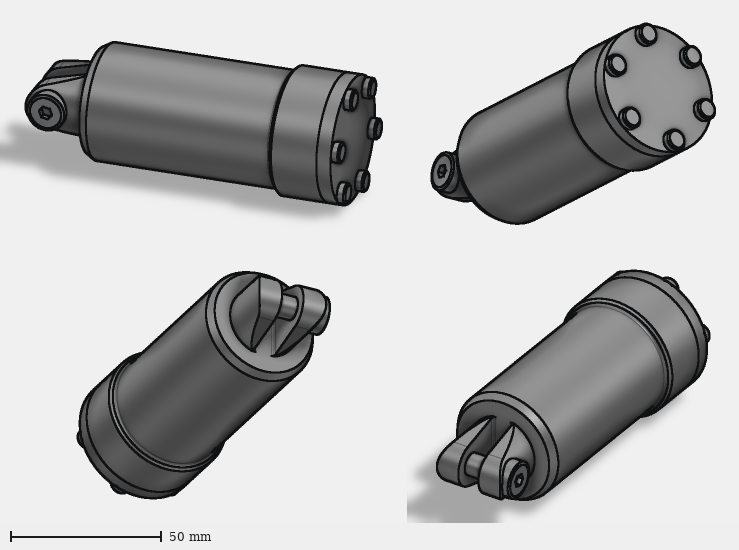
import cadquery as cq
import math

total_length = 113.8

barrel_radius = 40.1 / 2
flange_radius = 44.0 / 2
nose_face_x = 21.0
nose_bevel_length = 3.0
nose_bevel_angle = 30.0
neck_fillet = 1.0
flange_chamfer = flange_radius - barrel_radius - neck_fillet
flange_start_x = 89.0

clevis_radius = 25.0 / 2
tip_radius = 8.0
pin_x = tip_radius
taper_angle = 15.0
slot_width = 8.0
slot_fillet = 1.0

shank_radius = 8.0 / 2
pin_head_radius = 13.0 / 2
pin_head_end_y = -15.0
pin_head_height = 5.0
pin_head_bevel_radial = 1.0
pin_head_bevel_axial = 0.3
socket_across_flats = 4.0
socket_depth = 2.3
socket_turn = 11.0

cover_start_x = 106.0
cover_end_x = 111.0
screw_count = 6
screw_circle_radius = 37.0 / 2
screw_head_radius = 7.0 / 2
screw_head_chamfer = 0.6
first_screw_angle = 48.0

pin_seat_y = pin_head_end_y + pin_head_height
pin_shank_end_y = -pin_seat_y


def rod_along_y(radius, start_y, end_y):
    """Cylinder on the clevis pin axis."""
    plane = cq.Plane(origin=(pin_x, start_y, 0), xDir=(1, 0, 0), normal=(0, 1, 0))
    return cq.Workplane(plane).circle(radius).extrude(end_y - start_y)


def make_barrel():
    """Revolved barrel with a bevelled nose and a wider flange."""
    nose_face_radius = barrel_radius - nose_bevel_length * math.tan(math.radians(nose_bevel_angle))
    neck_radius = barrel_radius + neck_fillet
    arc_reach = neck_fillet * math.sqrt(0.5)
    return (
        cq.Workplane("XY")
        .moveTo(nose_face_x, 0)
        .lineTo(nose_face_x, nose_face_radius)
        .lineTo(nose_face_x + nose_bevel_length, barrel_radius)
        .lineTo(flange_start_x - neck_fillet, barrel_radius)
        .threePointArc(
            (flange_start_x - neck_fillet + arc_reach, neck_radius - arc_reach),
            (flange_start_x, neck_radius),
        )
        .lineTo(flange_start_x + flange_chamfer, flange_radius)
        .lineTo(cover_start_x, flange_radius)
        .lineTo(cover_start_x, 0)
        .close()
        .revolve(360, (0, 0, 0), (1, 0, 0))
    )


def make_clevis():
    """Two lugs: a cylinder cut to a rounded, tapered side outline, then slotted."""
    taper = math.radians(taper_angle)
    tangent_x = pin_x - tip_radius * math.sin(taper)
    tangent_z = tip_radius * math.cos(taper)
    root_z = tangent_z + (nose_face_x - tangent_x) * math.tan(taper)
    outline = (
        cq.Workplane("XZ")
        .moveTo(nose_face_x, root_z)
        .lineTo(tangent_x, tangent_z)
        .threePointArc((pin_x - tip_radius, 0), (tangent_x, -tangent_z))
        .lineTo(nose_face_x, -root_z)
        .close()
        .extrude(clevis_radius, both=True)
    )
    round_stock = cq.Workplane("YZ").circle(clevis_radius).extrude(nose_face_x)
    slot = (
        cq.Workplane("XY")
        .box(nose_face_x, slot_width, 2 * clevis_radius, centered=(False, True, True))
        .edges("|Z and >X")
        .fillet(slot_fillet)
    )
    return round_stock.intersect(outline).cut(slot)


def make_housing():
    """Barrel and clevis in one piece, with a blind bore for the pin shank and a recess for its head."""
    shank_bore = rod_along_y(shank_radius, pin_seat_y, pin_shank_end_y)
    head_recess = rod_along_y(pin_head_radius, -clevis_radius, pin_seat_y)
    clevis = make_clevis().cut(shank_bore).cut(head_recess)
    return make_barrel().union(clevis)


def make_pin():
    """Headed pin with a bevelled head and a hexagon socket."""
    shank = rod_along_y(shank_radius, pin_seat_y, pin_shank_end_y)
    head = (
        rod_along_y(pin_head_radius, pin_head_end_y, pin_seat_y)
        .faces("<Y")
        .chamfer(pin_head_bevel_axial, pin_head_bevel_radial)
    )
    socket_plane = cq.Plane(origin=(pin_x, pin_head_end_y, 0), xDir=(1, 0, 0), normal=(0, 1, 0))
    socket = (
        cq.Workplane(socket_plane)
        .transformed(rotate=(0, 0, socket_turn))
        .polygon(6, socket_across_flats / math.cos(math.pi / 6))
        .extrude(socket_depth)
    )
    return head.union(shank).cut(socket)


def make_cover():
    """Plain disc closing the flange end."""
    return (
        cq.Workplane("YZ")
        .workplane(offset=cover_start_x)
        .circle(flange_radius)
        .extrude(cover_end_x - cover_start_x)
    )


def make_screw_head(angle):
    """Round screw head on the cover, at an angle measured from +Y toward +Z."""
    center_y = screw_circle_radius * math.cos(math.radians(angle))
    center_z = screw_circle_radius * math.sin(math.radians(angle))
    return (
        cq.Workplane("YZ")
        .workplane(offset=cover_end_x)
        .center(center_y, center_z)
        .circle(screw_head_radius)
        .extrude(total_length - cover_end_x)
        .faces(">X")
        .chamfer(screw_head_chamfer)
    )


housing = make_housing().solids()
pin = make_pin().solids()
cover = make_cover().solids()
screw_angles = [first_screw_angle + index * 360 / screw_count for index in range(screw_count)]
screw_heads = [make_screw_head(angle).solids() for angle in screw_angles]

result = cq.Compound.makeCompound(
    [housing.val(), pin.val(), cover.val(), *[head.val() for head in screw_heads]]
)